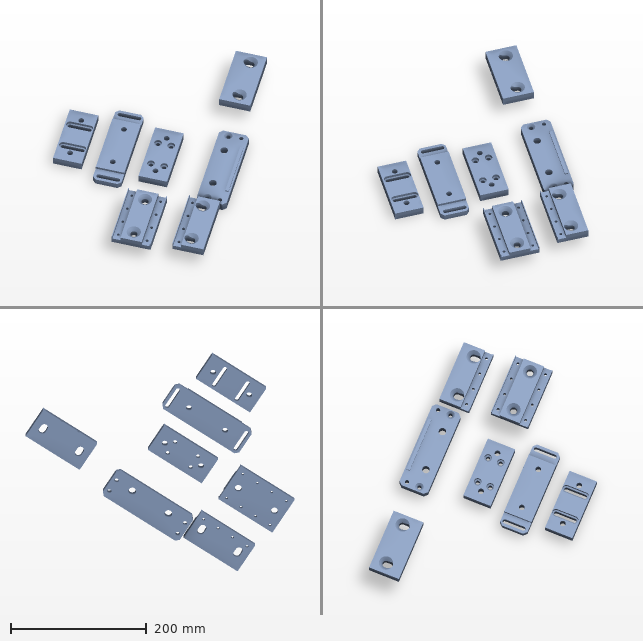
import cadquery as cq

LOWER_HEIGHT = 13.0
UPPER_HEIGHT = 14.0
UPPER_BASE = LOWER_HEIGHT
TOP = UPPER_BASE + UPPER_HEIGHT

PLATE_LENGTH = 94.7
LONG_PLATE_LENGTH = 135.0
NARROW_WIDTH = 43.5
MOUNT_PITCH = 63.5
END_PITCH = 120.0
CORNER_CHAMFER = 5.0
MOUNT_DIAMETER = 8.5
SCREW_DIAMETER = 6.0
HEAD_DIAMETER = 11.0
HEAD_DEPTH = 4.2
SCREW_ROW_PITCH = 40.0
SCREW_COLUMN_PITCH = 20.0
SLOT_TRAVEL = 29.5
SLOT_OFFSET = 0.8
STEP_HEIGHT = 4.0

SIDE_WIDTH = 45.5
SIDE_HOLE_DIAMETER = 11.0
SIDE_HOLE_X = 16.0
SIDE_SCREW_X = (15.0, 34.5)
SMALL_SINK_DIAMETER = 12.5
RIDGE_LENGTH = 84.7
RIDGE_WIDTH = 5.0
RIDGE_HEIGHT = 2.0
RIDGE_EDGE_GAP = 2.7

RAIL_WIDTH = 59.3
HALF_RAIL_WIDTH = 47.5
BLOCK_WIDTH = 47.5
BOLT_DIAMETER = 10.5
SINK_DIAMETER = 20.8
BOLT_SLOT_TRAVEL = 5.8
LEDGE_WIDTH = 13.5
LEDGE_DEPTH = 5.8
HALF_RAIL_LEDGE_DEPTH = 6.0
LIP_WIDTH = 1.0
LIP_DROP = 1.0
HALF_RAIL_LIP_DROP = 1.5
PIN_DIAMETER = 4.2
PIN_COUNT = 4
PIN_PITCH = 25.5
PIN_EDGE_GAP = 7.7
HALF_RAIL_BOLT_X = 25.5
BLOCK_BOLT_X = 27.0
SIDE_PIN_PITCH = 30.0
SIDE_PIN_HEIGHT = 4.0
SIDE_PIN_DEPTH = 7.7

ROW_Y = 178.0
SLOTTED_X = NARROW_WIDTH / 2
ROW_PITCH = 65.0
SIDE_LEFT = 223.3
RAIL_X = 154.0
TOTAL_LENGTH = 385.0
RAIL_Y = PLATE_LENGTH / 2
HALF_RAIL_LEFT = 214.0
HALF_RAIL_Y = 57.8
BLOCK_LEFT = 210.2
BLOCK_Y = TOTAL_LENGTH - PLATE_LENGTH / 2


def box(x, y, base, width, length, height):
    """Box centred on (x, y) and standing on the given base height."""
    return cq.Workplane().box(width, length, height, centered=(True, True, False)).translate((x, y, base))


def cylinder(x, y, base, top, diameter):
    return cq.Workplane(origin=(x, y, base)).circle(diameter / 2).extrude(top - base)


def slot(x, y, base, top, diameter, travel):
    """Round-ended slot along X, its end centres lying `travel` apart."""
    return cq.Workplane(origin=(x, y, base)).slot2D(travel + diameter, diameter).extrude(top - base)


def countersink(x, y, top, head_diameter, hole_diameter):
    """90-degree cone that narrows from the head to the hole."""
    depth = (head_diameter - hole_diameter) / 2
    cone = cq.Solid.makeCone(hole_diameter / 2, head_diameter / 2, depth)
    return cq.Workplane(cone.translate(cq.Vector(x, y, top - depth)))


def pair(centre, pitch):
    return (centre - pitch / 2, centre + pitch / 2)


def cut_mount_holes(plate, x, diameter):
    for y in pair(ROW_Y, MOUNT_PITCH):
        plate = plate.cut(cylinder(x, y, 0, LOWER_HEIGHT, diameter))
    return plate


def make_slotted_plate(x):
    """Narrow plate with two counterbored cross slots."""
    plate = box(x, ROW_Y, 0, NARROW_WIDTH, PLATE_LENGTH, LOWER_HEIGHT)
    plate = cut_mount_holes(plate, x, MOUNT_DIAMETER)
    slot_x = x + SLOT_OFFSET
    head_floor = LOWER_HEIGHT - HEAD_DEPTH
    for y in pair(ROW_Y, SCREW_ROW_PITCH):
        plate = plate.cut(slot(slot_x, y, 0, LOWER_HEIGHT, SCREW_DIAMETER, SLOT_TRAVEL))
        plate = plate.cut(slot(slot_x, y, head_floor, LOWER_HEIGHT, HEAD_DIAMETER, SLOT_TRAVEL))
    return plate


def make_stepped_plate(x):
    """Long plate with a raised middle and a cross slot in each lower end."""
    plate = box(x, ROW_Y, 0, NARROW_WIDTH, LONG_PLATE_LENGTH, LOWER_HEIGHT - STEP_HEIGHT)
    plate = plate.edges("|Z").chamfer(CORNER_CHAMFER)
    plate = plate.union(box(x, ROW_Y, 0, NARROW_WIDTH, PLATE_LENGTH, LOWER_HEIGHT))
    plate = cut_mount_holes(plate, x, MOUNT_DIAMETER)
    for y in pair(ROW_Y, END_PITCH):
        plate = plate.cut(slot(x + SLOT_OFFSET, y, 0, LOWER_HEIGHT, SCREW_DIAMETER, SLOT_TRAVEL))
    return plate


def make_drilled_plate(x):
    """Narrow plate with four counterbored screw holes."""
    plate = box(x, ROW_Y, 0, NARROW_WIDTH, PLATE_LENGTH, LOWER_HEIGHT)
    plate = cut_mount_holes(plate, x, MOUNT_DIAMETER)
    for screw_x in pair(x, SCREW_COLUMN_PITCH):
        for y in pair(ROW_Y, SCREW_ROW_PITCH):
            plate = plate.cut(cylinder(screw_x, y, 0, LOWER_HEIGHT, SCREW_DIAMETER))
            plate = plate.cut(cylinder(screw_x, y, LOWER_HEIGHT - HEAD_DEPTH, LOWER_HEIGHT, HEAD_DIAMETER))
    return plate


def make_side_plate(left):
    """Long plate with a ridge, countersunk holes on the left and plain ones on the right."""
    plate = box(left + SIDE_WIDTH / 2, ROW_Y, 0, SIDE_WIDTH, LONG_PLATE_LENGTH, LOWER_HEIGHT)
    plate = plate.edges("|Z").chamfer(CORNER_CHAMFER)
    plate = cut_mount_holes(plate, left + SIDE_HOLE_X, SIDE_HOLE_DIAMETER)
    sink_x, plain_x = (left + offset for offset in SIDE_SCREW_X)
    for y in pair(ROW_Y, END_PITCH):
        plate = plate.cut(cylinder(sink_x, y, 0, LOWER_HEIGHT, SCREW_DIAMETER))
        plate = plate.cut(countersink(sink_x, y, LOWER_HEIGHT, SMALL_SINK_DIAMETER, SCREW_DIAMETER))
        plate = plate.cut(cylinder(plain_x, y, 0, LOWER_HEIGHT, SCREW_DIAMETER))
    ridge_x = left + SIDE_WIDTH - RIDGE_EDGE_GAP - RIDGE_WIDTH / 2
    return plate.union(box(ridge_x, ROW_Y, LOWER_HEIGHT, RIDGE_WIDTH, RIDGE_LENGTH, RIDGE_HEIGHT))


def cut_ledge(rail, edge_x, inward, y, depth, lip_drop):
    """Cut a drilled ledge behind a thin lip; `inward` is +1 or -1, from the edge into the rail."""
    ledge_x = edge_x + inward * (LIP_WIDTH + LEDGE_WIDTH) / 2
    floor = TOP - depth
    rail = rail.cut(box(ledge_x, y, floor, LEDGE_WIDTH - LIP_WIDTH, PLATE_LENGTH, depth))
    lip_x = edge_x + inward * LIP_WIDTH / 2
    rail = rail.cut(box(lip_x, y, TOP - lip_drop, LIP_WIDTH, PLATE_LENGTH, lip_drop))
    for i in range(PIN_COUNT):
        pin_y = y + (i - (PIN_COUNT - 1) / 2) * PIN_PITCH
        rail = rail.cut(cylinder(edge_x + inward * PIN_EDGE_GAP, pin_y, UPPER_BASE, TOP, PIN_DIAMETER))
    return rail


def cut_bolt_slots(plate, x, y):
    """Countersunk bolt holes, lengthened into slots toward -X below the countersink."""
    slot_x = x - BOLT_SLOT_TRAVEL / 2
    for bolt_y in pair(y, MOUNT_PITCH):
        plate = plate.cut(slot(slot_x, bolt_y, UPPER_BASE, TOP, BOLT_DIAMETER, BOLT_SLOT_TRAVEL))
        plate = plate.cut(countersink(x, bolt_y, TOP, SINK_DIAMETER, BOLT_DIAMETER))
    return plate


def make_rail(x, y):
    """Rail with a lipped ledge along both sides and two countersunk bolt holes."""
    rail = box(x, y, UPPER_BASE, RAIL_WIDTH, PLATE_LENGTH, UPPER_HEIGHT)
    for inward in (1, -1):
        rail = cut_ledge(rail, x - inward * RAIL_WIDTH / 2, inward, y, LEDGE_DEPTH, LIP_DROP)
    for bolt_y in pair(y, MOUNT_PITCH):
        rail = rail.cut(cylinder(x, bolt_y, UPPER_BASE, TOP, BOLT_DIAMETER))
        rail = rail.cut(countersink(x, bolt_y, TOP, SINK_DIAMETER, BOLT_DIAMETER))
    return rail


def make_half_rail(left, y):
    """Rail with a lipped ledge along its left side only."""
    rail = box(left + HALF_RAIL_WIDTH / 2, y, UPPER_BASE, HALF_RAIL_WIDTH, PLATE_LENGTH, UPPER_HEIGHT)
    rail = cut_ledge(rail, left, 1, y, HALF_RAIL_LEDGE_DEPTH, HALF_RAIL_LIP_DROP)
    return cut_bolt_slots(rail, left + HALF_RAIL_BOLT_X, y)


def make_block(left, y):
    """Plain block with two blind pin holes in its left side."""
    block = box(left + BLOCK_WIDTH / 2, y, UPPER_BASE, BLOCK_WIDTH, PLATE_LENGTH, UPPER_HEIGHT)
    block = cut_bolt_slots(block, left + BLOCK_BOLT_X, y)
    for pin_y in pair(y, SIDE_PIN_PITCH):
        pin_place = cq.Workplane("YZ", origin=(left, pin_y, UPPER_BASE + SIDE_PIN_HEIGHT))
        block = block.cut(pin_place.circle(PIN_DIAMETER / 2).extrude(SIDE_PIN_DEPTH))
    return block


slotted_plate = make_slotted_plate(SLOTTED_X)
stepped_plate = make_stepped_plate(SLOTTED_X + ROW_PITCH)
drilled_plate = make_drilled_plate(SLOTTED_X + 2 * ROW_PITCH)
side_plate = make_side_plate(SIDE_LEFT)
rail = make_rail(RAIL_X, RAIL_Y)
half_rail = make_half_rail(HALF_RAIL_LEFT, HALF_RAIL_Y)
block = make_block(BLOCK_LEFT, BLOCK_Y)

result = cq.Compound.makeCompound(
    [
        slotted_plate.val(),
        stepped_plate.val(),
        drilled_plate.val(),
        side_plate.val(),
        rail.val(),
        half_rail.val(),
        block.val(),
    ]
)